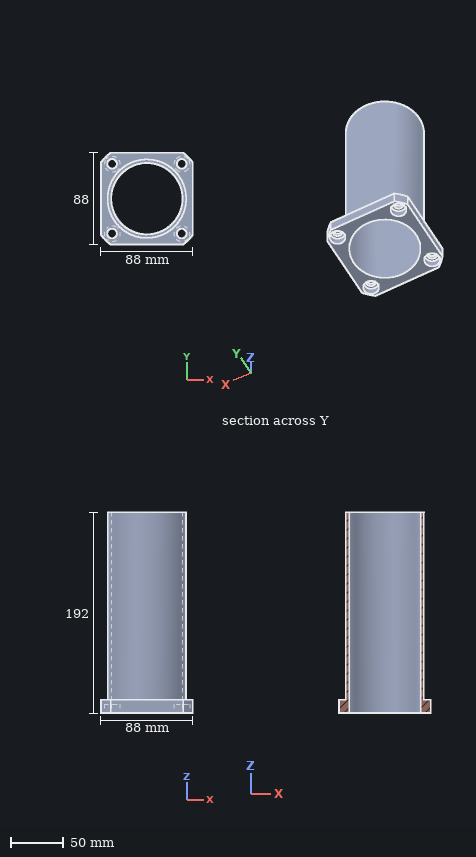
import cadquery as cq

total_height = 192.0

flange_side = 88.0
flange_thickness = 13.0
flange_corner_diameter = 112.0

tube_outer_diameter = 75.0
tube_inner_diameter = 68.0

bolt_count = 4
first_bolt_angle = 45
bolt_circle_diameter = 94.0
bolt_hole_diameter = 9.0
counterbore_diameter = 15.0
counterbore_depth = 8.6


def make_cylinder(diameter, height):
    """Upright cylinder on the Z axis, standing on Z = 0."""
    return cq.Workplane("XY").circle(diameter / 2).extrude(height)


def make_flange():
    """Square plate on Z = 0 with its four corners rounded about the tube axis."""
    plate = cq.Workplane("XY").rect(flange_side, flange_side).extrude(flange_thickness)
    return plate.intersect(make_cylinder(flange_corner_diameter, flange_thickness))


def make_bolt_cylinders(diameter, height):
    """Upright cylinders at the bolt positions, standing on Z = 0."""
    return (
        cq.Workplane("XY")
        .polarArray(bolt_circle_diameter / 2, first_bolt_angle, 360, bolt_count)
        .circle(diameter / 2)
        .extrude(height)
    )


flanged_tube = make_flange().union(make_cylinder(tube_outer_diameter, total_height))
flanged_tube = flanged_tube.cut(make_cylinder(tube_inner_diameter, total_height))

bolt_holes = make_bolt_cylinders(bolt_hole_diameter, flange_thickness)
counterbores = make_bolt_cylinders(counterbore_diameter, counterbore_depth)

result = flanged_tube.cut(bolt_holes).cut(counterbores)